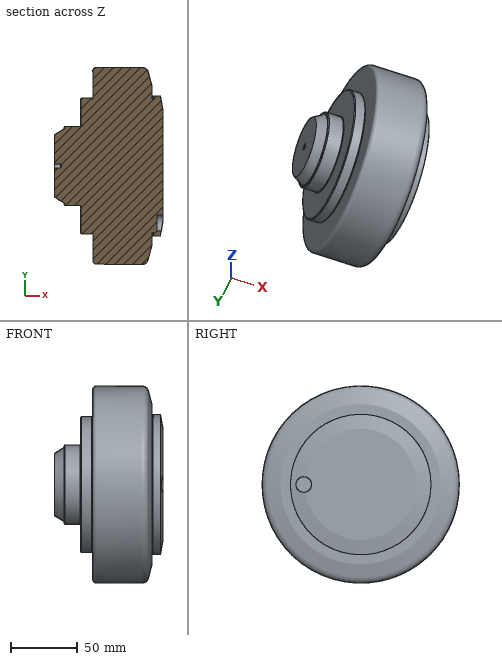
import cadquery as cq
import math


pin_shoulder_x = 7.3
collar_start_x = 19.8
collar_end_x = 28.7
tyre_start_x = 28.9
tyre_end_x = 73.6
cap_start_x = 74.5
overall_length = 82.0

pin_tip_dia = 47.2
pin_cone_dia = 56.2
pin_dia = 60.0
collar_dia = 103.0
neck_dia = 101.2
tyre_dia = 148.8
tyre_end_dia = 121.0
cap_dia = 106.0
cap_face_dia = 83.9

pin_chamfer = 0.7
pin_root_flare = 0.5
collar_chamfer = 0.7
tyre_back_fillet = 3.0
tyre_front_fillet = 5.0
tyre_cone_angle = 15.0
cap_cone_angle = 10.0

centre_recess_dia = 4.9
centre_recess_depth = 0.1
centre_hole_dia = 3.0
centre_hole_depth = 4.5
drill_point_angle = 118.0

cap_hole_dia = 11.8
cap_hole_offset = 43.0
cap_hole_depth = 4.5


def revolve_about_x(profile):
    return profile.close().revolve(360, (0, 0, 0), (1, 0, 0))


def cylinder_along_x(start_x, end_x, dia):
    return cq.Workplane("YZ", origin=(start_x, 0, 0)).circle(dia / 2).extrude(end_x - start_x)


def make_pin():
    """Stub pin with a tapered tip, a chamfered shoulder and a slight flare at the collar."""
    shoulder_radius = pin_dia / 2 - pin_chamfer
    return revolve_about_x(
        cq.Workplane("XY")
        .moveTo(0, 0)
        .lineTo(0, pin_tip_dia / 2)
        .lineTo(pin_shoulder_x, pin_cone_dia / 2)
        .lineTo(pin_shoulder_x, shoulder_radius)
        .lineTo(pin_shoulder_x + pin_chamfer, pin_dia / 2)
        .lineTo(collar_start_x - pin_root_flare, pin_dia / 2)
        .lineTo(collar_start_x, pin_dia / 2 + pin_root_flare)
        .lineTo(collar_start_x, 0)
    )


def make_collar():
    collar = cylinder_along_x(collar_start_x, collar_end_x, collar_dia)
    return collar.faces("<X or >X").chamfer(collar_chamfer)


def make_tyre():
    """Wide rim, rounded at the back and blended into a shallow cone at the front."""
    cone_rise = (tyre_dia - tyre_end_dia) / 2 * math.tan(math.radians(tyre_cone_angle))
    tyre = revolve_about_x(
        cq.Workplane("XY")
        .moveTo(tyre_start_x, 0)
        .lineTo(tyre_start_x, tyre_dia / 2)
        .lineTo(tyre_end_x - cone_rise, tyre_dia / 2)
        .lineTo(tyre_end_x, tyre_end_dia / 2)
        .lineTo(tyre_end_x, 0)
    )
    tyre = tyre.faces("<X").edges().fillet(tyre_back_fillet)
    largest_circles = cq.selectors.RadiusNthSelector(-1)
    return tyre.edges(largest_circles).edges(">X").fillet(tyre_front_fillet)


def make_cap():
    """Cover disc with a shallow cone around its flat face."""
    cone_rise = (cap_dia - cap_face_dia) / 2 * math.tan(math.radians(cap_cone_angle))
    return revolve_about_x(
        cq.Workplane("XY")
        .moveTo(cap_start_x, 0)
        .lineTo(cap_start_x, cap_dia / 2)
        .lineTo(overall_length - cone_rise, cap_dia / 2)
        .lineTo(overall_length, cap_face_dia / 2)
        .lineTo(overall_length, 0)
    )


def make_centre_hole():
    """Drilled hole with a pointed bottom, opening into a shallow round recess."""
    recess = cylinder_along_x(0, centre_recess_depth, centre_recess_dia)
    point_depth = centre_hole_dia / 2 / math.tan(math.radians(drill_point_angle / 2))
    drill = revolve_about_x(
        cq.Workplane("XY")
        .moveTo(0, 0)
        .lineTo(0, centre_hole_dia / 2)
        .lineTo(centre_hole_depth, centre_hole_dia / 2)
        .lineTo(centre_hole_depth + point_depth, 0)
    )
    return recess.union(drill)


def make_cap_hole():
    hole = cylinder_along_x(overall_length - cap_hole_depth, overall_length, cap_hole_dia)
    return hole.translate((0, -cap_hole_offset, 0))


neck = cylinder_along_x(collar_start_x, cap_start_x, neck_dia)

result = (
    make_pin()
    .union(make_collar())
    .union(neck)
    .union(make_tyre())
    .union(make_cap())
    .cut(make_centre_hole())
    .cut(make_cap_hole())
)